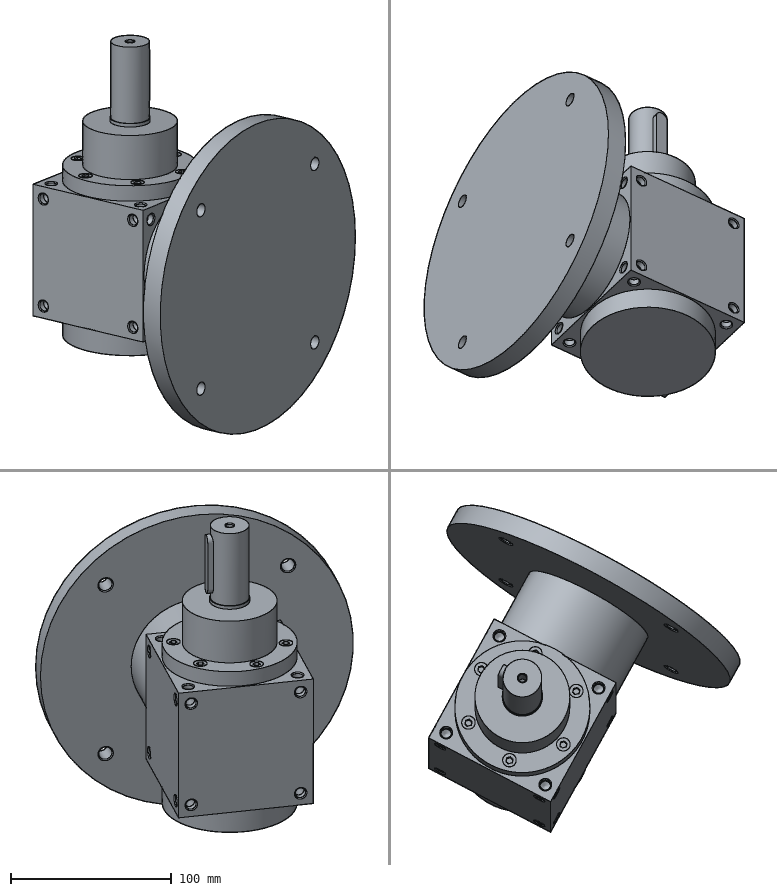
import cadquery as cq
import math


overall_height = 234.0
flange_diameter = 200.0
flange_end_x = 100.0
shaft_top_z = overall_height - flange_diameter / 2

cube_side = 86.0
cube_half = cube_side / 2
round_diameter = 84.0
cover_height = 10.0
cap_height = 15.0
boss_diameter = 59.0
boss_height = 28.8
cover_top_z = cube_half + cover_height
boss_top_z = cover_top_z + boss_height

flange_thickness = 13.0
flange_face_x = flange_end_x - flange_thickness
flange_hole_diameter = 8.5
flange_hole_mouth = 9.8
flange_bolt_circle = 165.0
flange_hole_offset = flange_bolt_circle / 2 * math.sqrt(0.5)

mount_spacing = 70.0
mount_hole_diameter = 6.5
mount_hole_mouth = 8.0
mount_hole_depth = 4.7

screw_count = 6
screw_circle = 70.0
screw_first_angle = 15.0
screw_head_diameter = 8.5
screw_head_recess = 0.2
hex_across_flats = 4.0
hex_depth = 3.0

shaft_diameter = 24.0
shaft_length = 49.8
collar_diameter = 25.0
collar_top_z = shaft_top_z - shaft_length
centre_hole_diameter = 5.0
centre_hole_mouth = 6.0
centre_hole_depth = 14.0
drill_point_angle = 118.0

key_width = 8.0
key_length = 40.0
key_height = 7.0
key_outer_y = 15.0
key_inner_y = key_outer_y - key_height
key_top_gap = 5.1
key_centre_z = shaft_top_z - key_top_gap - key_length / 2


def hole_profile(diameter, mouth, depth, point_height):
    """Half section of a hole below the XY plane: 45-degree mouth, straight wall and drill point."""
    radius = diameter / 2
    mouth_radius = mouth / 2
    profile = cq.Workplane("XZ").moveTo(0, 0).lineTo(mouth_radius, 0)
    profile = profile.lineTo(radius, radius - mouth_radius).lineTo(radius, -depth)
    return profile.lineTo(0, -depth - point_height).close()


def blind_hole(diameter, mouth, depth):
    """Solid to cut for a drilled hole that opens at the origin and runs toward -Z."""
    point_height = diameter / 2 / math.tan(math.radians(drill_point_angle / 2))
    profile = hole_profile(diameter, mouth, depth, point_height)
    return profile.revolve(360, (0, 0, 0), (0, 1, 0))


def through_hole(diameter, mouth, depth):
    """Solid to cut for a flat-ended hole that opens at the origin and runs toward -Z."""
    profile = hole_profile(diameter, mouth, depth, 0)
    return profile.revolve(360, (0, 0, 0), (0, 1, 0))


def square_corners(offset):
    """Four points at the corners of a centred square."""
    return [(a * offset, b * offset) for a in (-1, 1) for b in (-1, 1)]


def key_block():
    """Round-ended key, lying along Z on the +Y side of the shaft."""
    outline = cq.Workplane("XZ", origin=(0, key_inner_y, key_centre_z))
    return outline.slot2D(key_length, key_width, 90).extrude(-key_height)


def housing_body():
    """Cube with its bottom cap, top cover, boss, neck and output flange."""
    cube = cq.Workplane("XY").box(cube_side, cube_side, cube_side)
    cap = cq.Workplane("XY", origin=(0, 0, -cube_half)).circle(round_diameter / 2).extrude(-cap_height)
    cover = cq.Workplane("XY", origin=(0, 0, cube_half)).circle(round_diameter / 2).extrude(cover_height)
    boss = cq.Workplane("XY", origin=(0, 0, cover_top_z)).circle(boss_diameter / 2).extrude(boss_height)
    neck_length = flange_face_x - cube_half
    neck = cq.Workplane("YZ", origin=(cube_half, 0, 0)).circle(round_diameter / 2).extrude(neck_length)
    flange = cq.Workplane("YZ", origin=(flange_face_x, 0, 0))
    flange = flange.circle(flange_diameter / 2).extrude(flange_thickness)
    return cube.union(cap).union(cover).union(boss).union(neck).union(flange)


def cut_mount_holes(body):
    """Four blind holes in each of the six cube faces."""
    hole = blind_hole(mount_hole_diameter, mount_hole_mouth, mount_hole_depth)
    face_rotations = [
        ((1, 0, 0), 0),
        ((1, 0, 0), 90),
        ((1, 0, 0), 180),
        ((1, 0, 0), 270),
        ((0, 1, 0), 90),
        ((0, 1, 0), 270),
    ]
    for axis, angle in face_rotations:
        for a, b in square_corners(mount_spacing / 2):
            body = body.cut(hole.translate((a, b, cube_half)).rotate((0, 0, 0), axis, angle))
    return body


def cut_screws(body):
    """Round seat with a hexagonal socket for each cover screw."""
    seat = cq.Workplane("XY").circle(screw_head_diameter / 2).extrude(-screw_head_recess)
    hex_across_corners = hex_across_flats / math.cos(math.pi / 6)
    socket = cq.Workplane("XY").polygon(6, hex_across_corners).extrude(-hex_depth)
    screw = seat.union(socket).translate((screw_circle / 2, 0, cover_top_z))
    for index in range(screw_count):
        angle = screw_first_angle + index * 360 / screw_count
        body = body.cut(screw.rotate((0, 0, 0), (0, 0, 1), angle))
    return body


def cut_flange_holes(body):
    """Four through holes in the flange, chamfered on the gearbox side."""
    hole = through_hole(flange_hole_diameter, flange_hole_mouth, flange_thickness)
    hole = hole.rotate((0, 0, 0), (0, 1, 0), -90)
    for y, z in square_corners(flange_hole_offset):
        body = body.cut(hole.translate((flange_face_x, y, z)))
    return body


def shaft_body():
    """Shaft standing on the boss, with a collar, a centre hole and a keyway."""
    collar = cq.Workplane("XY", origin=(0, 0, boss_top_z))
    collar = collar.circle(collar_diameter / 2).extrude(collar_top_z - boss_top_z)
    rod = cq.Workplane("XY", origin=(0, 0, collar_top_z)).circle(shaft_diameter / 2).extrude(shaft_length)
    centre_hole = blind_hole(centre_hole_diameter, centre_hole_mouth, centre_hole_depth)
    return collar.union(rod).cut(centre_hole.translate((0, 0, shaft_top_z))).cut(key_block())


housing = cut_flange_holes(cut_screws(cut_mount_holes(housing_body())))
shaft = shaft_body()
key = key_block()

result = cq.Compound.makeCompound([housing.val(), shaft.val(), key.val()])